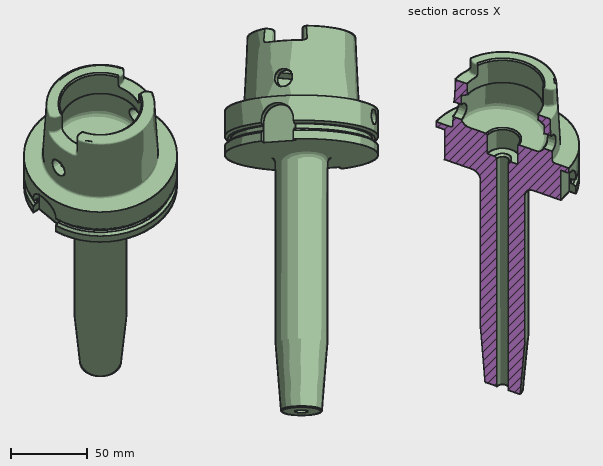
import cadquery as cq
import math


flange_radius = 50.0
flange_height = 29.0
groove_center_z = -20.0
groove_mouth = 6.5
groove_shoulder_radius = 48.0
groove_floor_height = 3.5
groove_floor_radius = 46.2

cone_height = 50.0
cone_base_radius = 37.7
cone_slope = 0.05
cone_top_radius = cone_base_radius - cone_slope * cone_height
rim_fillet = 1.5
neck_radius = 37.5
neck_fillet = 2.0
neck_height = 2.7

body_radius = 17.0
body_length = 200.0
root_fillet = 6.0
tip_radius = 13.5
tip_length = 45.0
tip_chamfer = 0.7

bore_radius = 26.5
mouth_chamfer = 1.0
bore_end_z = 30.7
clamp_angle = 30.0
chamber_radius = 31.0
chamber_fillet = 6.0
floor_z = 4.7
center_hole_radius = 11.2
center_hole_chamfer = 1.0
center_hole_depth = 16.2
coolant_radius = 4.2
coolant_chamfer = 1.5

notch_width = 20.0
notch_corner_radius = 6.0
notch_flat_y = 32.5
front_notch_depth = 15.0
back_notch_depth = 10.0
notch_floor_fillet = 2.0

keyway_width = 22.0
keyway_top_z = -4.5
keyway_floor_y = 43.7
cross_hole_radius = 6.0
cross_hole_z = 15.0
pocket_radius = 5.0
pocket_depth = 4.5
pocket_z = -7.0

quarter_arc_mid = 1 - math.sqrt(0.5)


def outer_body():
    """Revolve the outside outline, followed from the tip up to the rim."""
    tip_z = -body_length
    fillet_end_z = -flange_height - root_fillet
    fillet_mid = root_fillet * quarter_arc_mid
    half_mouth = groove_mouth / 2
    half_floor = groove_floor_height / 2
    neck_fillet_mid = neck_fillet * quarter_arc_mid
    outline = (
        cq.Workplane("XZ")
        .moveTo(0, tip_z)
        .lineTo(tip_radius - tip_chamfer, tip_z)
        .lineTo(tip_radius, tip_z + tip_chamfer)
        .lineTo(body_radius, tip_z + tip_length)
        .lineTo(body_radius, fillet_end_z)
        .threePointArc(
            (body_radius + fillet_mid, -flange_height - fillet_mid),
            (body_radius + root_fillet, -flange_height),
        )
        .lineTo(flange_radius, -flange_height)
        .lineTo(flange_radius, groove_center_z - half_mouth)
        .lineTo(groove_shoulder_radius, groove_center_z - half_floor)
        .lineTo(groove_floor_radius, groove_center_z - half_floor)
        .lineTo(groove_floor_radius, groove_center_z + half_floor)
        .lineTo(groove_shoulder_radius, groove_center_z + half_floor)
        .lineTo(flange_radius, groove_center_z + half_mouth)
        .lineTo(flange_radius, 0)
        .lineTo(neck_radius + neck_fillet, 0)
        .threePointArc((neck_radius + neck_fillet_mid, neck_fillet_mid), (neck_radius, neck_fillet))
        .lineTo(cone_base_radius - cone_slope * neck_height, neck_height)
        .lineTo(cone_top_radius, cone_height)
        .lineTo(0, cone_height)
        .close()
    )
    return outline.revolve(360, (0, 0, 0), (0, 1, 0))


def inner_hollow():
    """Revolve the hollow: chamfered bore, wider chamber, central hole and coolant bore."""
    clamp_drop = (chamber_radius - bore_radius) * math.tan(math.radians(clamp_angle))
    fillet_mid = chamber_fillet * quarter_arc_mid
    center_hole_end_z = floor_z - center_hole_depth
    outline = (
        cq.Workplane("XZ")
        .moveTo(0, cone_height)
        .lineTo(bore_radius + mouth_chamfer, cone_height)
        .lineTo(bore_radius, cone_height - mouth_chamfer)
        .lineTo(bore_radius, bore_end_z)
        .lineTo(chamber_radius, bore_end_z - clamp_drop)
        .lineTo(chamber_radius, floor_z + chamber_fillet)
        .threePointArc(
            (chamber_radius - fillet_mid, floor_z + fillet_mid),
            (chamber_radius - chamber_fillet, floor_z),
        )
        .lineTo(center_hole_radius + center_hole_chamfer, floor_z)
        .lineTo(center_hole_radius, floor_z - center_hole_chamfer)
        .lineTo(center_hole_radius, center_hole_end_z)
        .lineTo(coolant_radius + coolant_chamfer, center_hole_end_z)
        .lineTo(coolant_radius, center_hole_end_z - coolant_chamfer)
        .lineTo(coolant_radius, -body_length)
        .lineTo(0, -body_length)
        .close()
    )
    return outline.revolve(360, (0, 0, 0), (0, 1, 0))


def drive_notch(depth):
    """Notch through the +Y wall: a straight slot flaring outward round two convex corners."""
    half_width = notch_width / 2
    corner_start_y = notch_flat_y - notch_corner_radius
    corner_end_x = half_width + notch_corner_radius
    corner_mid = notch_corner_radius * quarter_arc_mid
    plan = (
        cq.Workplane("XY", origin=(0, 0, cone_height - depth))
        .moveTo(-half_width, 0)
        .lineTo(half_width, 0)
        .lineTo(half_width, corner_start_y)
        .threePointArc((half_width + corner_mid, notch_flat_y - corner_mid), (corner_end_x, notch_flat_y))
        .lineTo(flange_radius, notch_flat_y)
        .lineTo(flange_radius, flange_radius)
        .lineTo(-flange_radius, flange_radius)
        .lineTo(-flange_radius, notch_flat_y)
        .lineTo(-corner_end_x, notch_flat_y)
        .threePointArc((-half_width - corner_mid, notch_flat_y - corner_mid), (-half_width, corner_start_y))
        .close()
    )
    cutter = plan.extrude(depth)
    return cutter.faces("<Z").edges().fillet(notch_floor_fillet)


def keyway():
    """Round-topped keyway in the +Y side of the flange, open at the bottom."""
    half_width = keyway_width / 2
    arc_center_z = keyway_top_z - half_width
    return (
        cq.Workplane("XZ", origin=(0, keyway_floor_y, 0))
        .moveTo(-half_width, -flange_height)
        .lineTo(half_width, -flange_height)
        .lineTo(half_width, arc_center_z)
        .threePointArc((0, keyway_top_z), (-half_width, arc_center_z))
        .close()
        .extrude(keyway_floor_y - flange_radius)
    )


def to_front(feature):
    """Turn a +Y feature round to the -Y side."""
    return feature.rotate((0, 0, 0), (0, 0, 1), 180)


cross_hole = (
    cq.Workplane("XZ", origin=(0, flange_radius, cross_hole_z))
    .circle(cross_hole_radius)
    .extrude(2 * flange_radius)
)
side_pocket = (
    cq.Workplane("YZ", origin=(-flange_radius, 0, pocket_z))
    .circle(pocket_radius)
    .extrude(pocket_depth)
)

holder = (
    outer_body()
    .cut(drive_notch(back_notch_depth))
    .cut(to_front(drive_notch(front_notch_depth)))
)
front_notch_region = cq.selectors.BoxSelector(
    (-flange_radius, -flange_radius, cone_height / 2),
    (flange_radius, -cone_top_radius / 2, cone_height - rim_fillet),
)
front_notch_edge = holder.faces("%CONE").edges(front_notch_region)
holder = holder.faces(">Z").edges().add(front_notch_edge).fillet(rim_fillet)

result = (
    holder
    .cut(inner_hollow())
    .cut(keyway())
    .cut(to_front(keyway()))
    .cut(cross_hole)
    .cut(side_pocket)
)